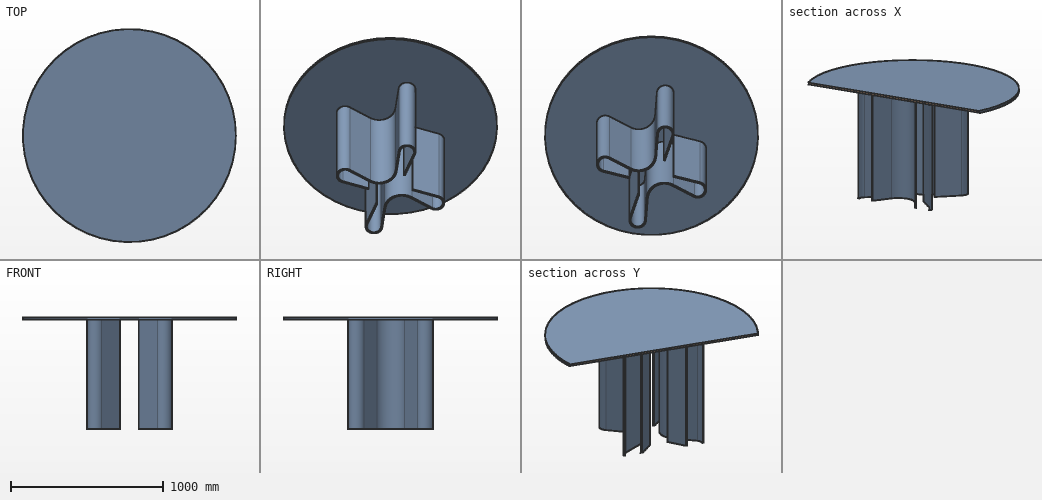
import cadquery as cq
import math

top_diameter = 1400.0
top_thickness = 17.0
total_height = 735.0
leg_height = total_height - top_thickness

sheet = 10.0
leg_reach = 280.0
lobe_radius = 56.0
valley_radius = 108.0
half_gap = 60.0
inner_flank_angle = math.radians(46.5)

lobe_center = cq.Vector(leg_reach - lobe_radius, leg_reach - lobe_radius)
valley_center = cq.Vector(half_gap + sheet + valley_radius, 0)

center_line = lobe_center - valley_center
line_angle = math.atan2(center_line.y, center_line.x)
flank_angle = line_angle - math.asin((valley_radius + lobe_radius) / center_line.Length)
flank_normal = cq.Vector(math.sin(flank_angle), -math.cos(flank_angle))

inner_direction = cq.Vector(math.cos(inner_flank_angle), math.sin(inner_flank_angle))
inner_normal = cq.Vector(-math.sin(inner_flank_angle), math.cos(inner_flank_angle))

diagonal = cq.Vector(1, 1).normalized()


def arm_side(depth):
    """Points along one face of the +Y arm, lying `depth` into the sheet from its outside face.

    Order: valley arc end, lobe arc start, lobe arc middle, lobe arc end, free edge.
    """
    radius = lobe_radius - depth
    valley_end = valley_center - flank_normal * (valley_radius + depth)
    lobe_start = lobe_center + flank_normal * radius
    lobe_middle = lobe_center + diagonal * radius
    lobe_end = lobe_center + inner_normal * radius
    outside_end = lobe_center + inner_normal * lobe_radius
    flank_length = (outside_end.x - half_gap) / inner_direction.x
    free_edge = lobe_end - inner_direction * flank_length
    return [valley_end, lobe_start, lobe_middle, lobe_end, free_edge]


def mirrored(points):
    """The same points on the -Y arm."""
    return [cq.Vector(point.x, -point.y) for point in points]


def trace_side(profile, points, mirror_points, depth):
    """Draw one sheet face from the free edge of `points` to that of `mirror_points`.

    The pen must already be at the free edge of `points`.
    """
    valley_end, lobe_start, lobe_middle, lobe_end, _ = points
    other_valley, other_start, other_middle, other_end, other_edge = mirror_points
    apex = valley_center - cq.Vector(valley_radius + depth, 0)
    return (
        profile.lineTo(lobe_end.x, lobe_end.y)
        .threePointArc(lobe_middle.toTuple()[:2], lobe_start.toTuple()[:2])
        .lineTo(valley_end.x, valley_end.y)
        .threePointArc(apex.toTuple()[:2], other_valley.toTuple()[:2])
        .lineTo(other_start.x, other_start.y)
        .threePointArc(other_middle.toTuple()[:2], other_end.toTuple()[:2])
        .lineTo(other_edge.x, other_edge.y)
    )


def make_leg():
    """Leg on the +X side: a constant-thickness sheet bent into two open arms."""
    outside = arm_side(0)
    inside = arm_side(sheet)
    inside_start = mirrored(inside)[-1]
    profile = cq.Workplane("XY").moveTo(outside[-1].x, outside[-1].y)
    profile = trace_side(profile, outside, mirrored(outside), 0)
    profile = profile.lineTo(inside_start.x, inside_start.y)
    profile = trace_side(profile, mirrored(inside), inside, sheet)
    return profile.close().extrude(leg_height)


def make_table_top():
    """Round disc resting on the legs."""
    return cq.Workplane("XY").workplane(offset=leg_height).circle(top_diameter / 2).extrude(top_thickness)


table_top = make_table_top()
legs = [make_leg().rotate((0, 0, 0), (0, 0, 1), turn) for turn in (0, 180)]

result = cq.Compound.makeCompound([table_top.val(), *[leg.val() for leg in legs]])